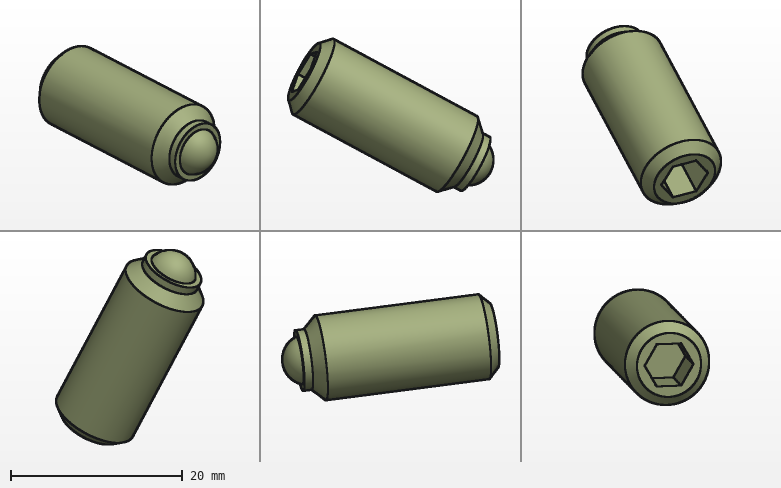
import cadquery as cq
import math

body_diameter = 10.0
overall_length = 25.0

socket_chamfer = 1.2

ball_radius = 3.0
ball_projection = 2.0
collar_diameter = 7.15
collar_length = 1.0
nose_chamfer_length = 1.5

hex_across_flats = 5.0
hex_sides = 6
hex_depth = 5.0

collar_end = overall_length - ball_projection
collar_start = collar_end - collar_length
nose_start = collar_start - nose_chamfer_length
ball_center = overall_length - ball_radius

body_radius = body_diameter / 2
ball_rim_radius = math.sqrt(ball_radius**2 - (collar_end - ball_center) ** 2)


def make_plunger():
    """Revolve the half profile of body, collar and ball about the X axis."""
    arc_angle = math.atan2(ball_rim_radius, collar_end - ball_center) / 2
    arc_middle = (
        ball_center + ball_radius * math.cos(arc_angle),
        ball_radius * math.sin(arc_angle),
    )
    profile = (
        cq.Workplane("XY")
        .moveTo(0, 0)
        .lineTo(0, body_radius - socket_chamfer)
        .lineTo(socket_chamfer, body_radius)
        .lineTo(nose_start, body_radius)
        .lineTo(collar_start, collar_diameter / 2)
        .lineTo(collar_end, collar_diameter / 2)
        .lineTo(collar_end, ball_rim_radius)
        .threePointArc(arc_middle, (overall_length, 0))
        .close()
    )
    return profile.revolve(360, (0, 0, 0), (1, 0, 0))


def make_hex_socket():
    """Hexagonal prism with corners on the Y axis and flats facing +Z and -Z."""
    across_corners = hex_across_flats / math.cos(math.pi / hex_sides)
    return cq.Workplane("YZ").polygon(hex_sides, across_corners).extrude(hex_depth)


result = make_plunger().cut(make_hex_socket())